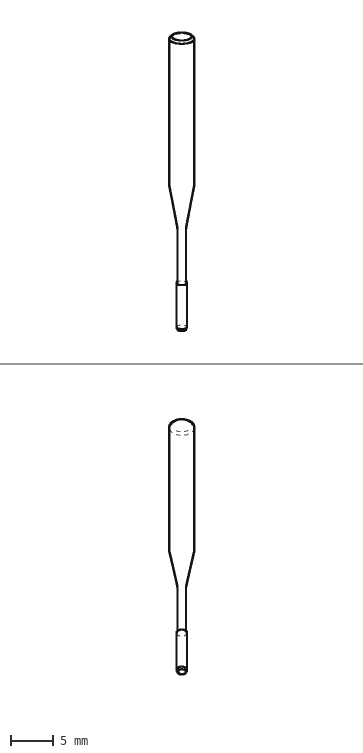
import cadquery as cq
import math

total_length = 38.0
shank_radius = 3.0 / 2
neck_radius = 1.05 / 2
cutter_radius = 1.25 / 2
cutter_length = 6.0
cutter_tip_chamfer_height = 0.293
cutter_tip_chamfer_width = 0.133
shank_chamfer = 0.3
shank_bottom_z = 18.7
neck_bottom_z = 6.27
taper_half_angle = math.radians(10.0)
neck_blend_radius = 2.0


def make_cutter():
    """Cutting cylinder with a chamfered lower tip."""
    tip_radius = cutter_radius - cutter_tip_chamfer_width
    return (
        cq.Workplane("XZ")
        .moveTo(0, 0)
        .lineTo(tip_radius, 0)
        .lineTo(cutter_radius, cutter_tip_chamfer_height)
        .lineTo(cutter_radius, cutter_length)
        .lineTo(0, cutter_length)
        .close()
        .revolve(360, (0, 0, 0), (0, 1, 0))
    )


def make_holder():
    """Concave shoulder, thin neck, blended taper and chamfered shank, resting on the cutter."""
    taper_start_radius = neck_radius + neck_blend_radius * (1 - math.cos(taper_half_angle))
    taper_height = (shank_radius - taper_start_radius) / math.tan(taper_half_angle)
    taper_start_z = shank_bottom_z - taper_height
    neck_top_z = taper_start_z - neck_blend_radius * math.sin(taper_half_angle)
    half_angle = taper_half_angle / 2
    blend_middle = (
        neck_radius + neck_blend_radius * (1 - math.cos(half_angle)),
        neck_top_z + neck_blend_radius * math.sin(half_angle),
    )

    shoulder_width = cutter_radius - neck_radius
    shoulder_height = neck_bottom_z - cutter_length
    shoulder_radius = (shoulder_width**2 + shoulder_height**2) / (2 * shoulder_width)
    shoulder_half_angle = math.asin(shoulder_height / shoulder_radius) / 2
    shoulder_middle = (
        neck_radius + shoulder_radius * (1 - math.cos(shoulder_half_angle)),
        neck_bottom_z - shoulder_radius * math.sin(shoulder_half_angle),
    )
    return (
        cq.Workplane("XZ")
        .moveTo(0, cutter_length)
        .lineTo(cutter_radius, cutter_length)
        .threePointArc(shoulder_middle, (neck_radius, neck_bottom_z))
        .lineTo(neck_radius, neck_top_z)
        .threePointArc(blend_middle, (taper_start_radius, taper_start_z))
        .lineTo(shank_radius, shank_bottom_z)
        .lineTo(shank_radius, total_length - shank_chamfer)
        .lineTo(shank_radius - shank_chamfer, total_length)
        .lineTo(0, total_length)
        .close()
        .revolve(360, (0, 0, 0), (0, 1, 0))
    )


cutter = make_cutter()
holder = make_holder()
result = cq.Compound.makeCompound([cutter.val(), holder.val()])